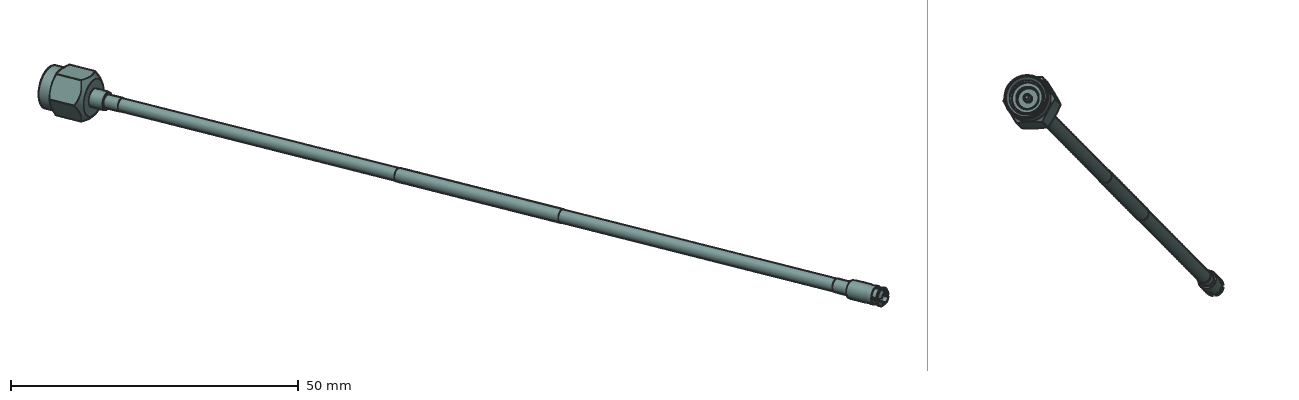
import cadquery as cq


CABLE_RADIUS = 1.2

SLEEVE_RADIUS = 1.25
LEFT_SLEEVE_END = 14.6
RIGHT_SLEEVE_START = 159.6
MARKER_START = 70.7
MARKER_END = 104.0

NUT_SIDES = 6
NUT_ACROSS_FLATS = 8.0
NUT_COLLAR_LENGTH = 2.4
NUT_LENGTH = 9.0
NUT_CORNER_RADIUS = 4.5
NUT_BACK_CHAMFER = 1.2
NUT_BACK_RADIUS = 3.4
NUT_FRONT_CHAMFER = 0.3
COLLAR_RADIUS = 3.9
COLLAR_CHAMFER = 0.2
BORE_MOUTH_RADIUS = 3.5
BORE_MOUTH_DEPTH = 0.5
BORE_RADIUS = 3.0
BORE_STEP_DEPTH = 0.8
BORE_STEP_RADIUS = 2.7
BORE_DEPTH = 1.2
SOCKET_RADIUS = 1.9
SOCKET_CHAMFER = 0.2
SOCKET_DEPTH = 2.0
PIN_RADIUS = 0.7
PIN_CHAMFER = 0.3
PIN_START = 0.5

FERRULE_RADIUS = 1.7
FERRULE_TAPER_LENGTH = 0.5
FERRULE_TAPER_DEPTH = 0.08
LEFT_FERRULE_END = 11.7

SNAP_PLUG_START = 162.7
SNAP_PLUG_END = 169.6
RING_NOTCH_START = 166.2
RING_NOTCH_WIDTH = 1.0
RING_NOTCH_DEPTH = 0.08
GROOVE_START = 167.8
GROOVE_END = 168.8
GROOVE_RADIUS = 1.5
TIP_CHAMFER = 0.5
TIP_BORE_RADIUS = 1.0
SLOT_WIDTH = 0.5
SLOT_ANGLES = (0, 90)


def rod(start, end, radius):
    """Solid round bar along X."""
    return cq.Workplane("YZ", origin=(start, 0, 0)).circle(radius).extrude(end - start)


def tube(start, end, outer_radius, inner_radius):
    """Round tube along X."""
    return rod(start, end, outer_radius).cut(rod(start, end, inner_radius))


def turned(profile):
    """Solid of revolution about X from (x, radius) points, closed along the axis."""
    points = [(profile[0][0], 0), *profile, (profile[-1][0], 0)]
    return cq.Workplane("XY").polyline(points).close().revolve(360, (0, 0, 0), (1, 0, 0))


def make_nut_blank():
    """Round collar followed by a hexagon whose corners are chamfered at both ends."""
    collar = rod(0, NUT_COLLAR_LENGTH, COLLAR_RADIUS).faces("<X").chamfer(COLLAR_CHAMFER)
    hexagon = (
        cq.Workplane("YZ", origin=(NUT_COLLAR_LENGTH, 0, 0))
        .polygon(NUT_SIDES, NUT_ACROSS_FLATS, circumscribed=True)
        .extrude(NUT_LENGTH - NUT_COLLAR_LENGTH)
        .rotate((0, 0, 0), (1, 0, 0), 180 / NUT_SIDES)
    )
    corner_limits = turned([
        (NUT_COLLAR_LENGTH, COLLAR_RADIUS),
        (NUT_COLLAR_LENGTH + NUT_FRONT_CHAMFER, NUT_CORNER_RADIUS),
        (NUT_LENGTH - NUT_BACK_CHAMFER, NUT_CORNER_RADIUS),
        (NUT_LENGTH, NUT_BACK_RADIUS),
    ])
    return collar.union(hexagon.intersect(corner_limits))


def make_threaded_plug():
    """Nut with its ferrule, hollowed from the front around a contact pin."""
    bore = turned([
        (0, BORE_MOUTH_RADIUS),
        (BORE_MOUTH_DEPTH, BORE_RADIUS),
        (BORE_STEP_DEPTH, BORE_RADIUS),
        (BORE_STEP_DEPTH, BORE_STEP_RADIUS),
        (BORE_DEPTH, BORE_STEP_RADIUS),
        (BORE_DEPTH, SOCKET_RADIUS + SOCKET_CHAMFER),
        (BORE_DEPTH + SOCKET_CHAMFER, SOCKET_RADIUS),
        (SOCKET_DEPTH, SOCKET_RADIUS),
    ])
    ferrule = turned([
        (NUT_LENGTH, FERRULE_RADIUS),
        (LEFT_FERRULE_END - FERRULE_TAPER_LENGTH, FERRULE_RADIUS),
        (LEFT_FERRULE_END, FERRULE_RADIUS - FERRULE_TAPER_DEPTH),
    ])
    pin = rod(PIN_START, SOCKET_DEPTH, PIN_RADIUS).faces("<X").chamfer(PIN_CHAMFER)
    return make_nut_blank().cut(bore).union(ferrule).union(pin)


def make_snap_plug():
    """Ferrule, notch and grooved tip, with crossed slots in the hollow tip."""
    body = turned([
        (SNAP_PLUG_START, FERRULE_RADIUS - FERRULE_TAPER_DEPTH),
        (SNAP_PLUG_START + FERRULE_TAPER_LENGTH, FERRULE_RADIUS),
        (RING_NOTCH_START, FERRULE_RADIUS),
        (RING_NOTCH_START + RING_NOTCH_WIDTH / 2, FERRULE_RADIUS - RING_NOTCH_DEPTH),
        (RING_NOTCH_START + RING_NOTCH_WIDTH, FERRULE_RADIUS),
        (GROOVE_START, FERRULE_RADIUS),
        (GROOVE_START, GROOVE_RADIUS),
        (GROOVE_END, GROOVE_RADIUS),
        (GROOVE_END, FERRULE_RADIUS),
        (SNAP_PLUG_END - TIP_CHAMFER, FERRULE_RADIUS),
        (SNAP_PLUG_END, FERRULE_RADIUS - TIP_CHAMFER),
    ])
    tip_length = SNAP_PLUG_END - GROOVE_START
    slot = cq.Workplane("XY").box(tip_length, SLOT_WIDTH, 2 * FERRULE_RADIUS)
    slot = slot.translate((GROOVE_START + tip_length / 2, 0, 0))
    body = body.cut(rod(GROOVE_START, SNAP_PLUG_END, TIP_BORE_RADIUS))
    for angle in SLOT_ANGLES:
        body = body.cut(slot.rotate((0, 0, 0), (1, 0, 0), angle))
    return body


def make_sleeve(start, end):
    """Sleeve that fits closely around the cable."""
    return tube(start, end, SLEEVE_RADIUS, CABLE_RADIUS)


threaded_plug = make_threaded_plug()
snap_plug = make_snap_plug()
cable = rod(LEFT_FERRULE_END, SNAP_PLUG_START, CABLE_RADIUS)

sleeve_spans = [
    (LEFT_FERRULE_END, LEFT_SLEEVE_END),
    (MARKER_START, MARKER_END),
    (RIGHT_SLEEVE_START, SNAP_PLUG_START),
]
sleeves = [make_sleeve(start, end) for start, end in sleeve_spans]

result = cq.Compound.makeCompound([
    threaded_plug.val(),
    snap_plug.val(),
    cable.val(),
    *[sleeve.val() for sleeve in sleeves],
])